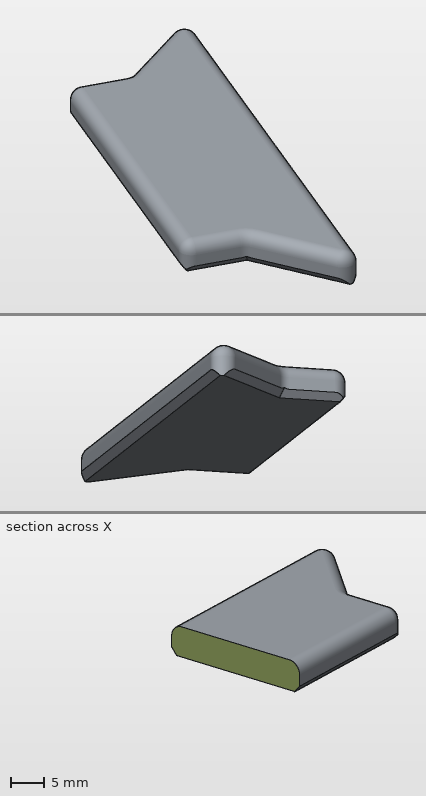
import cadquery as cq
import math

length = 73.9
width = 24.0
thickness = 5.0
neck_width = 51.6
flare_angle = 45.0
edge_radius = 2.0
bevel_height = 1.2
bevel_inset = 0.95

flare = math.radians(flare_angle)
tip_overhang = edge_radius / math.tan(flare / 2) - edge_radius
tip_x = length / 2 + tip_overhang
neck_x = neck_width / 2
back_y = width / 2
front_y = -width / 2
shoulder_y = back_y - (tip_x - neck_x) * math.tan(flare)


def outline(inset):
    """Closed outline with sharp corners, moved inward by the inset."""
    tip = tip_x - inset / math.tan(flare / 2)
    neck = neck_x - inset
    shoulder = shoulder_y + inset * math.tan(flare / 2)
    back = back_y - inset
    front = front_y + inset
    return cq.Workplane("XY").polyline([
        (-tip, back),
        (-neck, shoulder),
        (-neck, front),
        (neck, front),
        (neck, shoulder),
        (tip, back),
    ]).close()


def rounded_plate():
    """Plate with rounded outline corners and a rounded top edge."""
    plate = outline(0).extrude(thickness)
    plate = plate.edges("|Z").fillet(edge_radius)
    return plate.faces(">Z").edges().fillet(edge_radius)


def bevel_envelope():
    """Outward-sloping body whose flat sides form the bottom bevel."""
    spread = thickness * bevel_inset / bevel_height
    lower = outline(bevel_inset).val()
    upper = outline(bevel_inset - spread).val()
    upper = upper.translate(cq.Vector(0, 0, thickness))
    return cq.Workplane(cq.Solid.makeLoft([lower, upper], True))


result = rounded_plate().intersect(bevel_envelope())